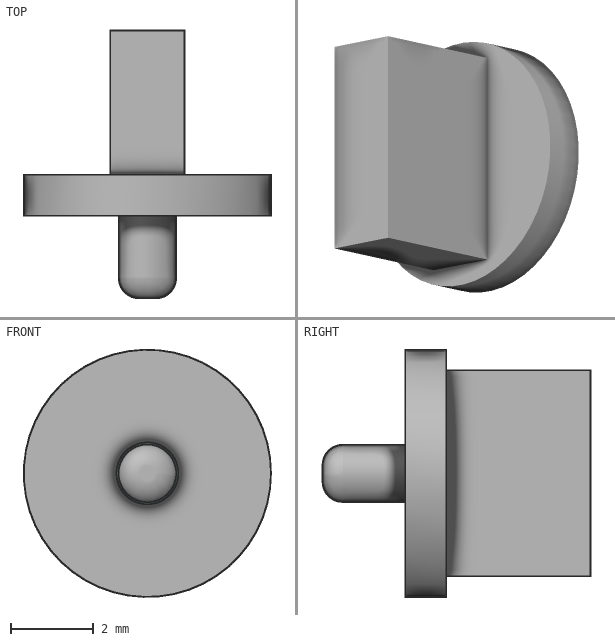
import cadquery as cq

TOTAL_LENGTH = 6.5
DISC_DIAMETER = 6.0
DISC_THICKNESS = 1.0
PIN_PROJECTION = 2.0
BLOCK_LENGTH = TOTAL_LENGTH - PIN_PROJECTION - DISC_THICKNESS

BLOCK_WIDTH = 1.8
BLOCK_HEIGHT = 5.0

PIN_DIAMETER = 1.4
PIN_TIP_RADIUS = 0.5
BORE_DIAMETER = 1.5
BORE_DEPTH = DISC_THICKNESS

DISC_BACK_Y = DISC_THICKNESS
BORE_FLOOR_Y = BORE_DEPTH
PIN_TIP_Y = -PIN_PROJECTION


def cross_section(y):
    """XZ workplane, whose extrusions run toward -Y, centred on the part axis at the given Y."""
    return cq.Workplane("XZ", origin=(0, y, 0))


def make_housing():
    """Disc with a block on its back and a blind bore in its front face."""
    disc = cross_section(DISC_BACK_Y).circle(DISC_DIAMETER / 2).extrude(DISC_THICKNESS)
    block = (
        cross_section(DISC_BACK_Y + BLOCK_LENGTH)
        .rect(BLOCK_WIDTH, BLOCK_HEIGHT)
        .extrude(BLOCK_LENGTH)
    )
    bore = cross_section(BORE_FLOOR_Y).circle(BORE_DIAMETER / 2).extrude(BORE_DEPTH)
    return disc.union(block).cut(bore)


def make_pin():
    """Round pin standing on the bore floor, with a rounded front end."""
    pin_length = BORE_FLOOR_Y - PIN_TIP_Y
    pin = cross_section(BORE_FLOOR_Y).circle(PIN_DIAMETER / 2).extrude(pin_length)
    return pin.faces("<Y").edges().fillet(PIN_TIP_RADIUS)


housing = make_housing()
pin = make_pin()

result = cq.Compound.makeCompound([housing.val(), pin.val()])